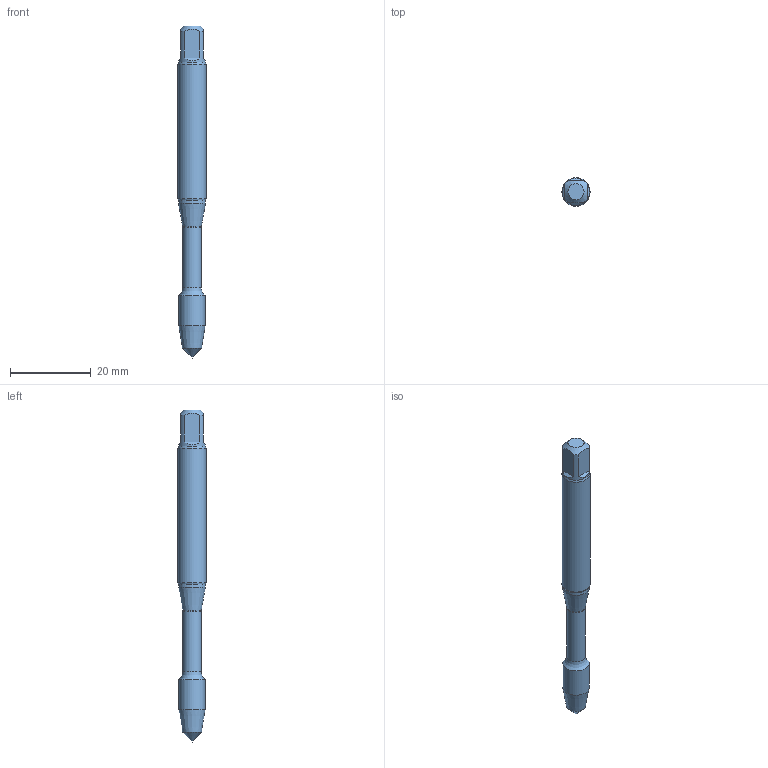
import cadquery as cq
import math

total_length = 82.4
shank_diameter = 7.0
relief_diameter = 6.7
neck_diameter = 4.6
thread_diameter = 6.49
lead_end_diameter = 4.74

square_width = 5.5
square_end = 8.0
run_out = 1.0
top_face_diameter = 4.0
flat_count = 4

shank_start = 9.5
shank_end = 42.9
land_end = 44.0
taper_end = 49.85
head_joint = 50.0
neck_end = 65.0
thread_start = 67.0
lead_start = 74.45
lead_end = 80.0

upper_bevel = 0.5
lower_bevel = 0.4

shank_radius = shank_diameter / 2
relief_radius = relief_diameter / 2
neck_radius = neck_diameter / 2
thread_radius = thread_diameter / 2
lead_end_radius = lead_end_diameter / 2
top_face_radius = top_face_diameter / 2
top_chamfer = relief_radius - top_face_radius


def at(radius, station):
    """Profile point at a radius and a distance down from the top face."""
    return (radius, total_length - station)


def flare_arc_middle():
    """Middle point of the concave arc that leaves the neck tangentially and flares to the thread."""
    rise = thread_radius - neck_radius
    length = thread_start - neck_end
    arc_radius = (length**2 + rise**2) / (2 * rise)
    half_angle = math.atan2(rise, length)
    return at(
        neck_radius + arc_radius * (1 - math.cos(half_angle)),
        neck_end + arc_radius * math.sin(half_angle),
    )


def make_flat_cutter():
    """Prism that cuts one flat of the driving square, with a 45 degree run-out at its lower end."""
    flat = square_width / 2
    return (
        cq.Workplane("XZ")
        .polyline([
            at(flat, 0),
            at(flat, square_end),
            at(flat + run_out, square_end + run_out),
            at(flat + run_out, 0),
        ])
        .close()
        .extrude(shank_radius, both=True)
    )


def make_shank():
    """Shank body: driving square, cylindrical shank, land and the taper down to the neck."""
    shank = (
        cq.Workplane("XZ")
        .polyline([
            at(0, 0),
            at(top_face_radius, 0),
            at(relief_radius, top_chamfer),
            at(relief_radius, shank_start - upper_bevel),
            at(shank_radius, shank_start),
            at(shank_radius, shank_end),
            at(relief_radius, shank_end + lower_bevel),
            at(relief_radius, land_end),
            at(neck_radius, taper_end),
            at(neck_radius, head_joint),
            at(0, head_joint),
        ])
        .close()
        .revolve(360, (0, 0), (0, 1))
    )
    flat_cutter = make_flat_cutter()
    for index in range(flat_count):
        angle = index * 360 / flat_count
        shank = shank.cut(flat_cutter.rotate((0, 0, 0), (0, 0, 1), angle))
    return shank


def make_cutting_head():
    """Cutting body: neck, concave flare, thread cylinder, tapered lead and conical point."""
    return (
        cq.Workplane("XZ")
        .moveTo(*at(0, head_joint))
        .lineTo(*at(neck_radius, head_joint))
        .lineTo(*at(neck_radius, neck_end))
        .threePointArc(flare_arc_middle(), at(thread_radius, thread_start))
        .lineTo(*at(thread_radius, lead_start))
        .lineTo(*at(lead_end_radius, lead_end))
        .lineTo(*at(0, total_length))
        .close()
        .revolve(360, (0, 0), (0, 1))
    )


shank = make_shank()
cutting_head = make_cutting_head()
result = cq.Compound.makeCompound([shank.val(), cutting_head.val()])